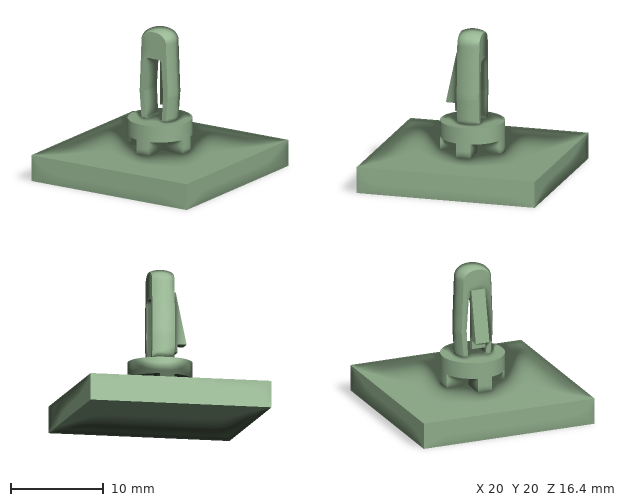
import cadquery as cq

BASE_SIDE = 20.0
LINER_THICKNESS = 0.1
PAD_TOP = 0.9
PLATE_TOP = 2.9

COLLAR_DIAMETER = 7.0
COLLAR_BOTTOM = 4.5
COLLAR_TOP = 6.3
RIB_WIDTH = 1.6

PIN_END_RADIUS = 2.0
PIN_BELLY_RADIUS = 2.18
BELLY_BOTTOM = 9.12
BELLY_TOP = 9.55
DOME_BOTTOM = 15.0
PIN_TOP = 16.4
PIN_TIP_RADIUS = 0.05
DOME_SIDE_PULL = 0.72
DOME_CROWN_PULL = 1.32
PIN_THICKNESS = 2.48

WINDOW_BOTTOM_HALF = 1.05
WINDOW_BELLY_HALF = 1.22
WINDOW_TOP_HALF = 0.95
WINDOW_TOP = 13.15
WINDOW_TOP_FILLET = 0.4
WINDOW_BOTTOM_FILLET = 0.25

TAB_WIDTH = 1.6
TAB_FRONT = PIN_THICKNESS / 2
TAB_TOP = 13.9
TAB_TOP_BACK = 1.55
TAB_BARB_BACK = 2.75
TAB_BARB_BOTTOM = 8.25
TAB_FOOT_BACK = 1.75
TAB_BOTTOM = 7.32
TAB_ROOT_RADIUS = 1.22


def make_slab(bottom, top):
    """Square layer of the base stack between two heights."""
    return cq.Workplane("XY", origin=(0, 0, bottom)).rect(BASE_SIDE, BASE_SIDE).extrude(top - bottom)


def make_collar():
    """Round collar with two crossing ribs below it, rounded to the collar outline."""
    height = COLLAR_TOP - PLATE_TOP
    rib_height = COLLAR_BOTTOM - PLATE_TOP
    envelope = cq.Workplane("XY", origin=(0, 0, PLATE_TOP)).circle(COLLAR_DIAMETER / 2).extrude(height)
    disc = (
        cq.Workplane("XY", origin=(0, 0, COLLAR_BOTTOM))
        .circle(COLLAR_DIAMETER / 2)
        .extrude(COLLAR_TOP - COLLAR_BOTTOM)
    )
    foot = cq.Workplane("XY", origin=(0, 0, PLATE_TOP))
    rib_x = foot.rect(COLLAR_DIAMETER, RIB_WIDTH).extrude(rib_height)
    rib_y = foot.rect(RIB_WIDTH, COLLAR_DIAMETER).extrude(rib_height)
    return disc.union(rib_x.union(rib_y).intersect(envelope))


def make_post():
    """Domed, barrelled post trimmed to its flat thickness."""
    post = (
        cq.Workplane("XZ")
        .moveTo(0, COLLAR_TOP)
        .lineTo(PIN_END_RADIUS, COLLAR_TOP)
        .lineTo(PIN_BELLY_RADIUS, BELLY_BOTTOM)
        .lineTo(PIN_BELLY_RADIUS, BELLY_TOP)
        .lineTo(PIN_END_RADIUS, DOME_BOTTOM)
        .bezier(
            [
                (PIN_END_RADIUS, DOME_BOTTOM),
                (PIN_END_RADIUS, DOME_BOTTOM + DOME_SIDE_PULL),
                (DOME_CROWN_PULL, PIN_TOP),
                (PIN_TIP_RADIUS, PIN_TOP),
            ]
        )
        .lineTo(0, PIN_TOP)
        .close()
        .revolve(360, (0, 0), (0, 1))
    )
    trim = (
        cq.Workplane("XY", origin=(0, 0, COLLAR_TOP))
        .rect(COLLAR_DIAMETER, PIN_THICKNESS)
        .extrude(PIN_TOP - COLLAR_TOP)
    )
    return post.intersect(trim)


def make_window():
    """Cutter for the bowed window, with rounded corners at both ends."""
    belly_middle = (BELLY_BOTTOM + BELLY_TOP) / 2
    window = (
        cq.Workplane("XZ")
        .polyline(
            [
                (-WINDOW_BOTTOM_HALF, COLLAR_TOP),
                (WINDOW_BOTTOM_HALF, COLLAR_TOP),
                (WINDOW_BELLY_HALF, belly_middle),
                (WINDOW_TOP_HALF, WINDOW_TOP),
                (-WINDOW_TOP_HALF, WINDOW_TOP),
                (-WINDOW_BELLY_HALF, belly_middle),
            ]
        )
        .close()
        .extrude(PIN_THICKNESS / 2, both=True)
    )
    window = window.faces(">Z").edges("|Y").fillet(WINDOW_TOP_FILLET)
    return window.faces("<Z").edges("|Y").fillet(WINDOW_BOTTOM_FILLET)


def make_tab():
    """Latch tab with a sloped barb, its root swept into the window ceiling."""
    outline = (
        cq.Workplane("YZ")
        .moveTo(TAB_FRONT, TAB_BOTTOM)
        .lineTo(TAB_FOOT_BACK, TAB_BOTTOM)
        .lineTo(TAB_FOOT_BACK, TAB_BARB_BOTTOM)
        .lineTo(TAB_BARB_BACK, TAB_BARB_BOTTOM)
        .lineTo(TAB_TOP_BACK, TAB_TOP)
        .lineTo(TAB_FRONT - TAB_ROOT_RADIUS, TAB_TOP)
        .lineTo(TAB_FRONT - TAB_ROOT_RADIUS, WINDOW_TOP)
        .radiusArc((TAB_FRONT, WINDOW_TOP - TAB_ROOT_RADIUS), TAB_ROOT_RADIUS)
        .close()
    )
    return outline.extrude(TAB_WIDTH / 2, both=True)


def make_support():
    """Base plate, collar, pin and latch tab as one moulded body."""
    plate = make_slab(PAD_TOP, PLATE_TOP)
    pin = make_post().cut(make_window()).union(make_tab())
    return plate.union(make_collar()).union(pin)


liner = make_slab(0, LINER_THICKNESS)
adhesive_pad = make_slab(LINER_THICKNESS, PAD_TOP)
support = make_support()

result = cq.Compound.makeCompound([liner.val(), adhesive_pad.val(), support.val()])